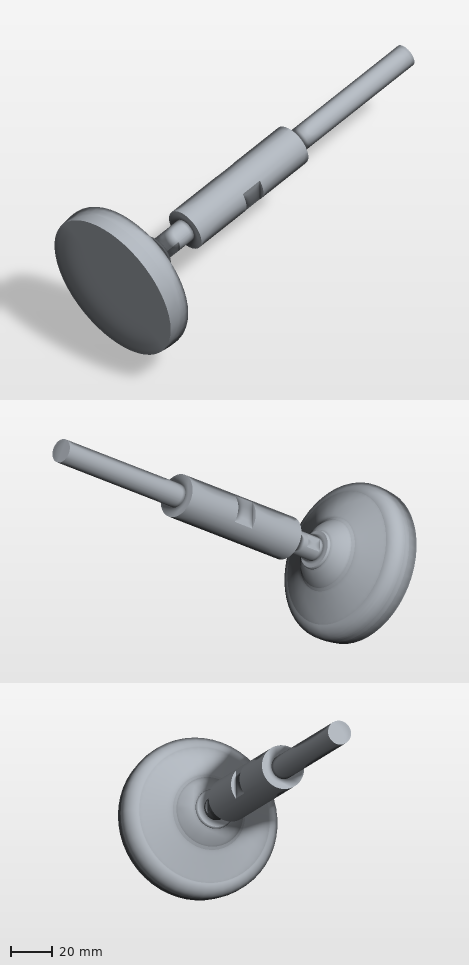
import cadquery as cq
import math

total_length = 206.5

foot_radius = 39.95
base_radius = 39.2
rim_start = 5.8
rim_end = 8.9
shoulder_y = 15.7
shoulder_radius = 33.9
cone_top_y = 22.0
cone_top_radius = 18.8
dome_start_y = 23.1
dome_start_radius = 17.3
dome_mid_y = 27.0
dome_mid_radius = 14.0
dome_end_y = 30.0
dome_end_radius = 10.0
foot_height = 31.4
lip_radius = 9.3
lip_mid_y = 30.8
lip_mid_radius = 9.8

spindle_radius = 6.0
spindle_flat_width = 10.0
spindle_flat_start = 33.2
spindle_flat_length = 8.0

sleeve_radius = 11.0
sleeve_start = 51.2
sleeve_length = 75.4
sleeve_flat_width = 17.0
sleeve_flat_length = 12.0


def cylinder(radius, start, length):
    """Cylinder along +Y from the given start."""
    return cq.Workplane("XZ", origin=(0, start, 0)).circle(radius).extrude(-length)


def cut_wrench_flats(body, radius, across_flats, start, length):
    """Cut two opposite flats, facing -X and +X."""
    depth = radius - across_flats / 2
    for side in (-1, 1):
        cutter = cq.Workplane("XY").box(2 * depth, length, 2 * radius)
        x = side * (across_flats / 2 + depth)
        body = body.cut(cutter.translate((x, start + length / 2, 0)))
    return body


def make_foot():
    """Levelling foot: tapered pad, rounded shoulder, cone, dome and small lip."""
    drop = foot_radius - shoulder_radius
    rise = shoulder_y - rim_end
    arc_radius = (drop**2 + rise**2) / (2 * drop)
    half_angle = math.asin(rise / arc_radius) / 2
    arc_middle = (
        foot_radius - arc_radius * (1 - math.cos(half_angle)),
        rim_end + arc_radius * math.sin(half_angle),
    )
    profile = (
        cq.Workplane("XY")
        .lineTo(base_radius, 0)
        .lineTo(foot_radius, rim_start)
        .lineTo(foot_radius, rim_end)
        .threePointArc(arc_middle, (shoulder_radius, shoulder_y))
        .lineTo(cone_top_radius, cone_top_y)
        .lineTo(dome_start_radius, dome_start_y)
        .threePointArc((dome_mid_radius, dome_mid_y), (dome_end_radius, dome_end_y))
        .threePointArc((lip_mid_radius, lip_mid_y), (lip_radius, foot_height))
        .lineTo(0, foot_height)
        .close()
    )
    return profile.revolve(360, (0, 0, 0), (0, 1, 0))


def make_spindle():
    """Round rod standing on the foot, with wrench flats near its lower end."""
    rod = cylinder(spindle_radius, foot_height, total_length - foot_height)
    return cut_wrench_flats(
        rod, spindle_radius, spindle_flat_width, spindle_flat_start, spindle_flat_length
    )


def make_sleeve():
    """Sleeve around the spindle, with wrench flats at mid-length."""
    tube = cylinder(sleeve_radius, sleeve_start, sleeve_length)
    tube = tube.cut(cylinder(spindle_radius, sleeve_start, sleeve_length))
    flat_start = sleeve_start + (sleeve_length - sleeve_flat_length) / 2
    return cut_wrench_flats(
        tube, sleeve_radius, sleeve_flat_width, flat_start, sleeve_flat_length
    )


foot = make_foot()
spindle = make_spindle()
sleeve = make_sleeve()

result = cq.Compound.makeCompound([foot.val(), spindle.val(), sleeve.val()])